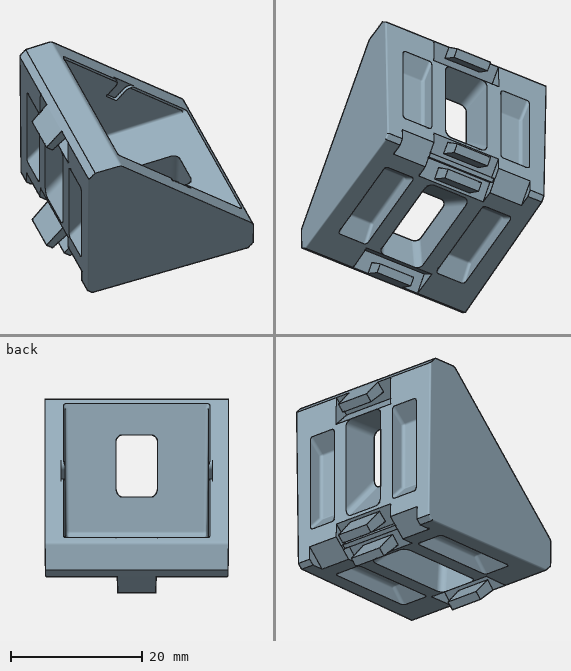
import cadquery as cq
import math


WIDTH = 28.0
LEG = 27.12
HYPOTENUSE_SUM = 32.38
TIP_CHAMFER = 1.03
CORNER_CHAMFER = 0.75
TIP_RADIUS = 1.03
SIDE_EDGE_RADIUS = 0.25
WALL_DRAFT = 1.2

POCKET_HALF_WIDTH = 10.97
RIM_FLARE = 0.18
RIM_DEPTH = 0.3
LEG_THICKNESS = 5.97
POCKET_CORNER_RADIUS = 0.92
POCKET_SIDE_RADIUS = 0.5

NOTCH_HALF_WIDTH = 11.53
NOTCH_HALF_LENGTH = 1.18
NOTCH_DEPTH = 3.22
NOTCH_MOUTH_RADIUS = 1.05
NOTCH_FLOOR_RADIUS = 0.18

SLOT_LOW = 5.5
SLOT_HIGH = 21.62
SLOT_HALF_WIDTH = 3.58
SLOT_DRAFT = 4.0
SLOT_FLOOR_ANGLE = 48.2
SLOT_RADIUS = 1.03

RECESS_LOW = 5.62
RECESS_HIGH = 21.05
RECESS_OFFSET = 8.45
RECESS_HALF_WIDTH = 2.48
RECESS_DEPTH = 2.37
RECESS_DRAFT = 3.5
RECESS_RADIUS = 0.5

V_DEPTH = 2.3
V_ROOF_ANGLE = 43.0
V_OUTER_TOP = LEG - TIP_CHAMFER
V_INNER_TOP = 4.95
V_HALF_WIDTH = 5.55
INNER_RELIEF_SUM = 3.43
RELIEF_SUM = 2.8
RELIEF_HALF_WIDTH = 11.05
V_SIDE_DRAFT = 1.5

OVERALL_SIZE = 29.57
TAB_REACH = OVERALL_SIZE - LEG
TAB_TIP_SIZE = 1.0
TAB_TIP_HALF_WIDTH = 2.9
TAB_DRAFT = 3.0
TAB_SIDE_DRAFT = 1.5
TAB_PITCH = 21.88

OVERCUT = 0.6
FAR = 44.35
ROOT_2 = math.sqrt(2)


def slope(degrees):
    return math.tan(math.radians(degrees))


def prism(points):
    """Extrude a (y, z) outline across the whole width."""
    return cq.Workplane("YZ").polyline(points).close().extrude(FAR, both=True)


def symmetric_block(direction, right_side):
    """Block about x = 0 whose right side runs through (half width, distance along direction) points."""
    normal = cq.Vector(1, 0, 0).cross(cq.Vector(direction))
    plane = cq.Plane(origin=(0, 0, 0), xDir=(1, 0, 0), normal=normal.toTuple())
    left_side = [(-half_width, distance) for half_width, distance in reversed(right_side)]
    return cq.Workplane(plane).polyline(right_side + left_side).close().extrude(FAR, both=True)


def wedge(direction, start, half_width, draft):
    """Block whose half width is given at distance start and grows along direction."""
    growth = FAR * slope(draft)
    near_point = (half_width - growth, start - FAR)
    far_point = (half_width + growth, start + FAR)
    return symmetric_block(direction, [near_point, far_point])


def diagonal_wedge(yz_sum, half_width, draft):
    """Wedge along y = z with its half width given where y + z = yz_sum."""
    return wedge((0, 1, 1), yz_sum / ROOT_2, half_width, draft)


def depth_wedge(half_width, draft):
    """Wedge that narrows with depth from the face y = 0."""
    return wedge((0, 1, 0), 0, half_width, -draft)


def on_both_legs(shape):
    """Add the mirror image across y = z."""
    return shape.union(shape.mirror((0, 1, -1)))


def make_body():
    shoulder = HYPOTENUSE_SUM - LEG
    outline = [
        (CORNER_CHAMFER, 0),
        (LEG - TIP_CHAMFER, 0),
        (LEG, TIP_CHAMFER),
        (LEG, shoulder),
        (shoulder, LEG),
        (TIP_CHAMFER, LEG),
        (0, LEG - TIP_CHAMFER),
        (0, CORNER_CHAMFER),
    ]
    body = prism(outline)
    for y, z in [(LEG, shoulder), (shoulder, LEG)]:
        body = body.edges(cq.NearestToPointSelector((0, y, z))).fillet(TIP_RADIUS)
    body = body.intersect(diagonal_wedge(HYPOTENUSE_SUM, WIDTH / 2, WALL_DRAFT))
    corner_face = cq.NearestToPointSelector((0, CORNER_CHAMFER / 2, CORNER_CHAMFER / 2))
    mounting_faces = body.faces("<Y").add(body.faces("<Z")).add(body.faces(corner_face))
    return mounting_faces.edges("not |X").fillet(SIDE_EDGE_RADIUS)


def make_pocket():
    reach = HYPOTENUSE_SUM - LEG_THICKNESS + OVERCUT
    pocket = prism([(LEG_THICKNESS, LEG_THICKNESS), (reach, LEG_THICKNESS), (LEG_THICKNESS, reach)])
    rim = HYPOTENUSE_SUM / ROOT_2
    side = [
        (POCKET_HALF_WIDTH - (rim - RIM_DEPTH) * slope(WALL_DRAFT), 0),
        (POCKET_HALF_WIDTH, rim - RIM_DEPTH),
        (POCKET_HALF_WIDTH + RIM_FLARE, rim),
        (POCKET_HALF_WIDTH + RIM_FLARE * (1 + OVERCUT / RIM_DEPTH), rim + OVERCUT),
    ]
    pocket = pocket.intersect(symmetric_block((0, 1, 1), side))
    inner_corner = cq.NearestToPointSelector((0, LEG_THICKNESS, LEG_THICKNESS))
    pocket = pocket.edges(inner_corner).fillet(POCKET_CORNER_RADIUS)
    return pocket.faces("<Y or <Z").edges("not |X").fillet(POCKET_SIDE_RADIUS)


def make_slot():
    depth = LEG_THICKNESS + OVERCUT
    slot = prism([
        (0, SLOT_LOW),
        (depth, SLOT_LOW + depth * slope(SLOT_FLOOR_ANGLE)),
        (depth, SLOT_HIGH),
        (0, SLOT_HIGH),
    ])
    slot = slot.intersect(depth_wedge(SLOT_HALF_WIDTH, SLOT_DRAFT))
    return slot.edges("not(<Y or >Y)").fillet(SLOT_RADIUS)


def make_recesses():
    recess = prism([
        (0, RECESS_LOW),
        (RECESS_DEPTH, RECESS_LOW + RECESS_DEPTH),
        (RECESS_DEPTH, RECESS_HIGH - RECESS_DEPTH),
        (0, RECESS_HIGH),
    ])
    recess = recess.intersect(depth_wedge(RECESS_HALF_WIDTH, RECESS_DRAFT))
    recess = recess.edges("not <Y").fillet(RECESS_RADIUS)
    return recess.translate((RECESS_OFFSET, 0, 0)).union(recess.translate((-RECESS_OFFSET, 0, 0)))


def make_v_notch(top):
    vertex_z = top - V_DEPTH * slope(V_ROOF_ANGLE)
    notch = prism([(0, top), (V_DEPTH, vertex_z), (0, vertex_z - V_DEPTH)])
    return notch.intersect(diagonal_wedge(top, V_HALF_WIDTH, -V_SIDE_DRAFT))


def make_corner_relief(yz_sum, half_width):
    """Remove the corner up to the plane y + z = yz_sum."""
    relief = prism([(0, 0), (yz_sum, 0), (0, yz_sum)])
    return relief.intersect(depth_wedge(half_width, 0))


def make_tab(top, roof_top):
    """Tab whose top side crosses the mounting face plane at z = top."""
    top_slope = slope(45 + TAB_DRAFT)
    bottom_slope = slope(45 - TAB_DRAFT)
    tip_top = (-TAB_REACH, top - TAB_REACH * top_slope)
    tip_bottom = (tip_top[0] + TAB_TIP_SIZE, tip_top[1] - TAB_TIP_SIZE)

    def meet_roof(start, side_slope):
        rise = roof_top - start[1] + side_slope * start[0]
        y = rise / (side_slope + slope(V_ROOF_ANGLE))
        return (y, roof_top - y * slope(V_ROOF_ANGLE))

    root_top = meet_roof(tip_top, top_slope)
    root_bottom = meet_roof(tip_bottom, bottom_slope)
    tab = prism([tip_top, root_top, root_bottom, tip_bottom])
    return tab.intersect(diagonal_wedge(sum(tip_top), TAB_TIP_HALF_WIDTH, TAB_SIDE_DRAFT))


def make_snap_notches():
    middle = HYPOTENUSE_SUM / 2
    plane = cq.Plane(origin=(0, middle, middle), xDir=(0, 1, -1), normal=(1, 0, 0))
    mouth = NOTCH_HALF_LENGTH + NOTCH_MOUTH_RADIUS
    notch = (
        cq.Workplane(plane)
        .moveTo(-mouth, 0)
        .radiusArc((-NOTCH_HALF_LENGTH, -NOTCH_MOUTH_RADIUS), NOTCH_MOUTH_RADIUS)
        .lineTo(-NOTCH_HALF_LENGTH, -NOTCH_DEPTH)
        .lineTo(NOTCH_HALF_LENGTH, -NOTCH_DEPTH)
        .lineTo(NOTCH_HALF_LENGTH, -NOTCH_MOUTH_RADIUS)
        .radiusArc((mouth, 0), NOTCH_MOUTH_RADIUS)
        .close()
        .extrude(NOTCH_HALF_WIDTH, both=True)
    )
    floor_middle = middle - NOTCH_DEPTH / ROOT_2
    floor = cq.NearestToPointSelector((0, floor_middle, floor_middle))
    return notch.faces(floor).edges("|X").fillet(NOTCH_FLOOR_RADIUS)


leg_cuts = (
    make_slot()
    .union(make_recesses())
    .union(make_v_notch(V_OUTER_TOP))
    .union(make_v_notch(V_INNER_TOP))
)
tabs = make_tab(V_OUTER_TOP, V_OUTER_TOP).union(make_tab(V_OUTER_TOP - TAB_PITCH, V_INNER_TOP))

result = (
    make_body()
    .cut(make_pocket())
    .cut(make_snap_notches())
    .cut(on_both_legs(leg_cuts))
    .cut(make_corner_relief(INNER_RELIEF_SUM, V_HALF_WIDTH))
    .cut(make_corner_relief(RELIEF_SUM, RELIEF_HALF_WIDTH))
    .union(on_both_legs(tabs))
)